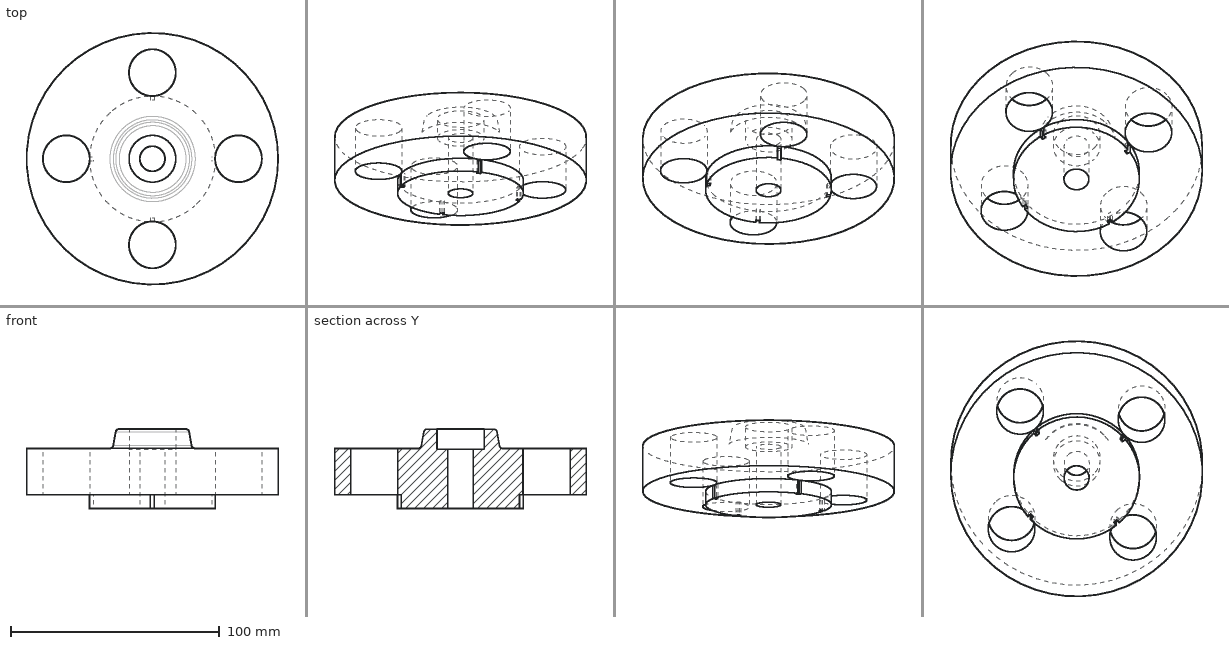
import cadquery as cq

flange_diameter = 120.6
flange_thickness = 22.3
face_diameter = 60.3
face_height = 6.5
face_top = face_height + flange_thickness

total_height = 38.1
hub_height = total_height - face_top
hub_root_diameter = 38.1
hub_taper = 10.0
hub_rim_radius = 1.7
hub_root_radius = 1.7

bore_diameter = 12.0
socket_diameter = 22.4
socket_depth = 9.6

bolt_count = 4
bolt_circle_diameter = 82.5
bolt_hole_diameter = 22.3

notch_count = 4
notch_width = 1.8
notch_depth = 1.8


def disc(diameter, bottom, height):
    return cq.Workplane("XY").workplane(offset=bottom).circle(diameter / 2).extrude(height)


def tapered_hub():
    return (
        cq.Workplane("XY")
        .workplane(offset=face_top)
        .circle(hub_root_diameter / 2)
        .extrude(hub_height, taper=hub_taper)
        .faces(">Z")
        .edges()
        .fillet(hub_rim_radius)
    )


def round_hub_root(body):
    """Fillet the circle where the hub meets the top of the flange."""
    margin = 0.1
    reach = hub_root_diameter / 2 + margin
    low_corner = (-reach, -reach, face_top - margin)
    high_corner = (reach, reach, face_top + margin)
    root = cq.selectors.BoxSelector(low_corner, high_corner, boundingbox=True)
    return body.edges(root).fillet(hub_root_radius)


body = disc(face_diameter, 0, face_height)
body = body.union(disc(flange_diameter, face_height, flange_thickness))
body = round_hub_root(body.union(tapered_hub()))

body = body.cut(disc(bore_diameter, 0, total_height))
body = body.cut(disc(socket_diameter, total_height - socket_depth, socket_depth))

bolt_holes = (
    cq.Workplane("XY")
    .workplane(offset=face_height)
    .polarArray(bolt_circle_diameter / 2, 0, 360, bolt_count)
    .circle(bolt_hole_diameter / 2)
    .extrude(flange_thickness)
)
body = body.cut(bolt_holes)

notches = (
    cq.Workplane("XY")
    .polarArray(face_diameter / 2, 0, 360, notch_count)
    .rect(2 * notch_depth, notch_width)
    .extrude(face_height)
)
result = body.cut(notches)